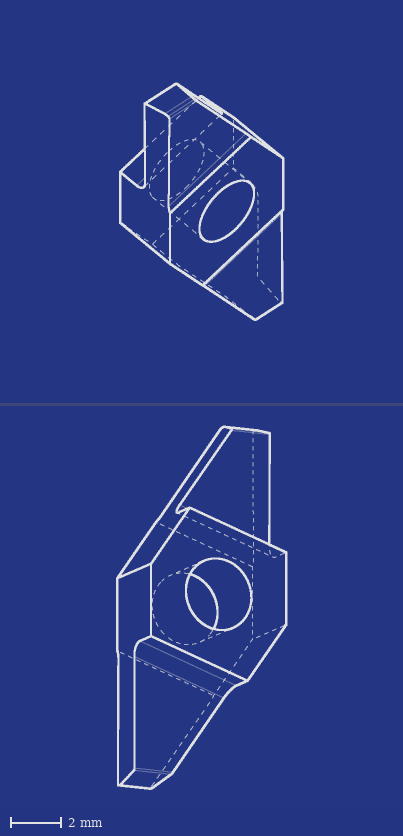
import cadquery as cq
import math

thickness = 3.0
width = 6.0
length = 15.0

outline_angle = 55.0
tip_land = 1.41
hole_diameter = 2.9

shoulder_angle = 18.0
shoulder_low_z = 2.0
root_radius = 0.5
back_step = 0.1

tip_width = 1.5
tip_front_x = -0.048
length_relief_angle = 0.5
width_relief_angle = 0.2
tip_angle = 16.5
tip_flat = 0.27
tip_corner_radius = 0.08

half_width = width / 2
half_length = length / 2
half_thickness = thickness / 2

shoulder_tilt = math.radians(shoulder_angle)
shoulder_slope = math.tan(shoulder_tilt)
shoulder_mid_z = shoulder_low_z + half_width * shoulder_slope
tip_back_x = tip_front_x + tip_width
blade_middle_x = tip_front_x + tip_width / 2
flat_start_x = tip_back_x - tip_flat

back_arc_height = math.sqrt(root_radius**2 - (root_radius - back_step) ** 2)
back_setback_z = (root_radius - back_arc_height) / math.cos(shoulder_tilt)
back_shoulder_mid_z = shoulder_mid_z - back_setback_z


def extrude_along_x(points, start_x, end_x):
    """Prism with a polygonal YZ section."""
    plane = cq.Workplane("YZ", origin=(start_x, 0, 0))
    return plane.polyline(points).close().extrude(end_x - start_x)


def make_outline_plate():
    """Plate with the full rhomboid outline and the through hole."""
    slant_rise = (width - tip_land) * math.tan(math.radians(outline_angle))
    side_corner_z = half_length - slant_rise
    points = [
        (-half_width, half_length),
        (-half_width + tip_land, half_length),
        (half_width, side_corner_z),
        (half_width, -half_length),
        (half_width - tip_land, -half_length),
        (-half_width, -side_corner_z),
    ]
    plate = extrude_along_x(points, -half_thickness, half_thickness)
    return plate.faces(">X").workplane(origin=(0, 0, 0)).hole(hole_diameter)


def make_center_block(mid_z, start_x, end_x):
    """Block between two tilted shoulders that cross Y = 0 at +mid_z and -mid_z."""
    rise = half_width * shoulder_slope
    points = [
        (-half_width, mid_z - rise),
        (half_width, mid_z + rise),
        (half_width, -mid_z + rise),
        (-half_width, -mid_z - rise),
    ]
    return extrude_along_x(points, start_x, end_x)


def blade_section(y, inset):
    """Corners of the XZ section of the upper blade, with both flanks moved in by inset."""
    length_relief = math.tan(math.radians(length_relief_angle))
    front_x = tip_front_x + inset
    back_x = tip_back_x - inset
    front_z = half_length - (flat_start_x - front_x) * math.tan(math.radians(tip_angle))
    points = [
        (front_x + length_relief * front_z, 0),
        (front_x, front_z),
        (flat_start_x, half_length),
        (back_x, half_length),
        (back_x - length_relief * half_length, 0),
    ]
    return [cq.Vector(x, y, z) for x, z in points]


def flat_face(corners):
    """Plane face bounded by straight edges between the corners."""
    return cq.Face.makeFromWires(cq.Wire.makePolygon(corners, close=True))


def make_upper_blade():
    """Upper blade with relieved flanks, a sloped end face and rounded tip corners."""
    far_inset = width * math.tan(math.radians(width_relief_angle))
    near = blade_section(-half_width, 0)
    far = blade_section(half_width, far_inset)
    faces = [flat_face(near), flat_face(far)]
    for i in range(len(near)):
        faces.append(flat_face([near[i - 1], near[i], far[i], far[i - 1]]))
    blade = cq.Workplane(cq.Solid.makeSolid(cq.Shell.makeShell(faces)))
    tip_corners = [
        edge for edge in blade.edges().vals()
        if edge.BoundingBox().zmin > half_length / 2
        and abs(edge.Center().y) < half_width / 2
        and abs(edge.Center().x - flat_start_x) > tip_flat / 2
    ]
    return blade.newObject(tip_corners).fillet(tip_corner_radius)


def shoulder_roots(body, mid_z, at_back):
    """Inside corners where the shoulders meet the blades, on one face."""
    tolerance = 0.05
    roots = []
    for edge in body.edges().vals():
        middle = edge.Center()
        shoulder_z = math.copysign(mid_z, middle.z) + middle.y * shoulder_slope
        on_shoulder = abs(middle.z - shoulder_z) < tolerance
        spans_width = edge.BoundingBox().ylen > width - tolerance
        inside = abs(middle.x) < half_thickness - tolerance
        if on_shoulder and spans_width and inside and (middle.x > blade_middle_x) == at_back:
            roots.append(edge)
    return roots


upper_blade = make_upper_blade()
lower_blade = upper_blade.rotate((0, 0, 0), (1, 0, 0), 180)
front_block = make_center_block(shoulder_mid_z, -half_thickness, blade_middle_x)
back_block = make_center_block(back_shoulder_mid_z, blade_middle_x, half_thickness + root_radius)

body = front_block.union(back_block).union(upper_blade).union(lower_blade)
body = body.newObject(shoulder_roots(body, shoulder_mid_z, at_back=False)).fillet(root_radius)
body = body.newObject(shoulder_roots(body, back_shoulder_mid_z, at_back=True)).fillet(root_radius)

result = body.intersect(make_outline_plate())